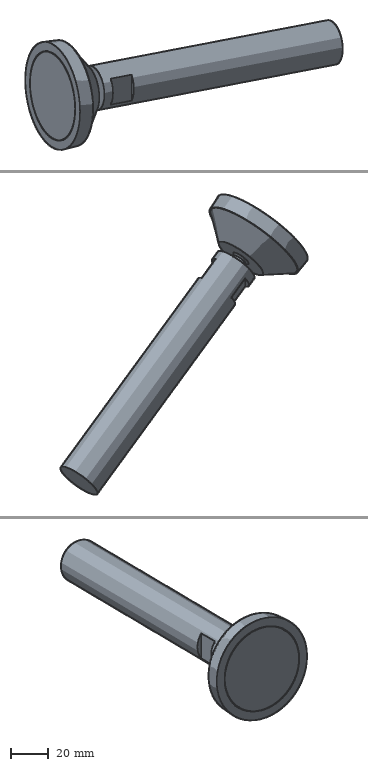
import cadquery as cq

total_length = 170.0

foot_diameter = 58.0
foot_rim_top_diameter = 57.1
cone_base_diameter = 55.8
cone_top_diameter = 28.5
rim_height = 8.3
foot_height = 20.2

neck_diameter = 7.8
ball_radius = 6.5
ball_center_y = 16.2

rod_diameter = 24.0
rod_start_y = 24.6
flats_start_y = 30.0
flats_length = 12.8
across_flats = 19.0

pad_diameter = 47.5
recess_diameter = 48.0
recess_depth = 3.4


def cylinder(diameter, start_y, length):
    """Cylinder on the Y axis, growing toward +Y."""
    plane = cq.Workplane("XZ", origin=(0, start_y, 0))
    return plane.circle(diameter / 2).extrude(-length)


def make_foot_plate():
    """Slightly drafted rim with a conical top and a narrow shoulder between."""
    profile = [
        (0, 0),
        (foot_diameter / 2, 0),
        (foot_rim_top_diameter / 2, rim_height),
        (cone_base_diameter / 2, rim_height),
        (cone_top_diameter / 2, foot_height),
        (0, foot_height),
    ]
    return cq.Workplane("XY").polyline(profile).close().revolve(360, (0, 0), (0, 1))


def make_neck():
    """Thin neck that widens into a ball sunk in the foot."""
    ball = cq.Workplane("XY").sphere(ball_radius).translate((0, ball_center_y, 0))
    return ball.union(cylinder(neck_diameter, ball_center_y, rod_start_y - ball_center_y))


def make_rod():
    """Round rod with two opposite wrench flats."""
    rod = cylinder(rod_diameter, rod_start_y, total_length - rod_start_y)
    flat_depth = (rod_diameter - across_flats) / 2
    flat_center_x = (across_flats + flat_depth) / 2
    flat_center_y = flats_start_y + flats_length / 2
    for side in (-1, 1):
        cutter = cq.Workplane("XY").box(flat_depth, flats_length, rod_diameter)
        rod = rod.cut(cutter.translate((side * flat_center_x, flat_center_y, 0)))
    return rod


def make_leg():
    """Rod, neck and foot plate in one piece, with the pad recess in the underside."""
    leg = make_foot_plate().union(make_neck()).union(make_rod())
    return leg.cut(cylinder(recess_diameter, 0, recess_depth))


def make_pad():
    """Round pad seated on the recess floor with a thin gap around it."""
    return cylinder(pad_diameter, 0, recess_depth)


leg = make_leg()
pad = make_pad()
result = cq.Compound.makeCompound([leg.val(), pad.val()])